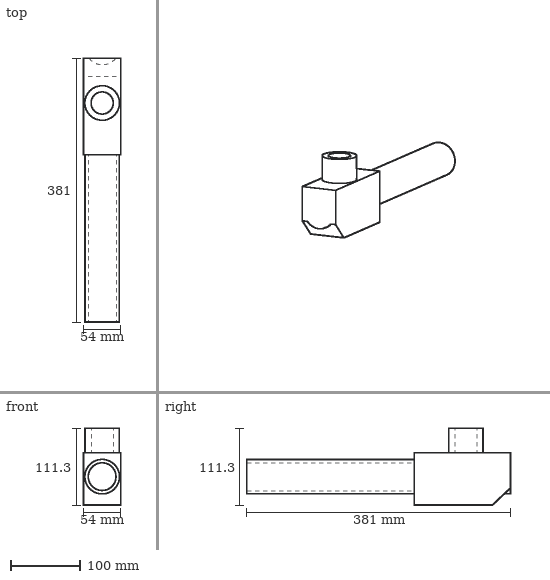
import cadquery as cq

total_length = 381.0
total_height = 111.3

block_width = 54.0
block_length = 139.5
block_height = 76.0
corner_cut_length = 26.3
corner_cut_height = 25.0

pipe_diameter = 50.0
tube_bore = 40.0
tube_axis_height = 41.0
tube_bore_depth = total_length - block_length

spout_bore = 32.0
spout_from_rear = 64.8
spout_height = total_height - block_height

rear_y = total_length
spout_y = rear_y - spout_from_rear


def make_block():
    """Rectangular block with a sloped lower rear corner."""
    front_y = rear_y - block_length
    side_outline = [
        (front_y, 0),
        (rear_y - corner_cut_length, 0),
        (rear_y, corner_cut_height),
        (rear_y, block_height),
        (front_y, block_height),
    ]
    return cq.Workplane("YZ").polyline(side_outline).close().extrude(block_width / 2, both=True)


def tube_rod(diameter, length):
    """Cylinder along the tube axis, running back from the front end."""
    front = cq.Workplane("XZ", origin=(0, 0, tube_axis_height))
    return front.circle(diameter / 2).extrude(-length)


def spout_rod(diameter):
    """Cylinder along the spout axis, standing on top of the block."""
    block_top = cq.Workplane("XY", origin=(0, spout_y, block_height))
    return block_top.circle(diameter / 2).extrude(spout_height)


body = make_block().union(tube_rod(pipe_diameter, total_length)).union(spout_rod(pipe_diameter))

result = body.cut(tube_rod(tube_bore, tube_bore_depth)).cut(spout_rod(spout_bore))